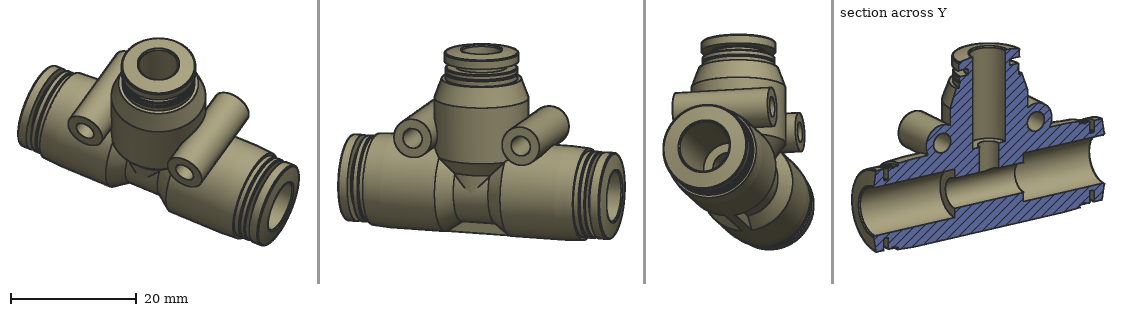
import cadquery as cq

run_half_length = 22.2
branch_length = 22.38

body_radius = 7.5
waist_radius = 5.73
run_waist_end = 2.9
branch_waist_end = 3.1
shoulder_end = 5.45

cap_face_depth = 0.4
cap_edge_depth = 0.58
collar_groove_start = 3.65
collar_groove_end = 3.9
body_start = 4.7
tube_socket_depth = 15.55

cap_edge_chamfer = 0.18
neck_chamfer = 0.18
collar_chamfer = 0.18
collar_groove_depth = 0.18
mouth_flare = 0.2

run_socket_radius = 8.1 / 2
run_passage_diameter = 5.0
branch_socket_radius = 6.2 / 2
branch_passage_diameter = 3.6

web_thickness = 1.6

lug_offset = 9.0
lug_height = 8.95
lug_diameter = 6.2
lug_hole_diameter = 3.2
lug_length = 15.6


def arm(length, socket_radius, cap_radius, cap_end, neck_radius, collar_start,
        collar_radius, body_end_radius, taper_end, waist_end):
    """Return a solid arm of revolution rising along +Z from the origin to its open end."""
    groove_radius = collar_radius - collar_groove_depth
    sleeve = [
        (0, 0),
        (socket_radius + mouth_flare, 0),
        (cap_radius - cap_edge_chamfer, cap_face_depth),
        (cap_radius, cap_edge_depth),
        (cap_radius, cap_end),
        (neck_radius + neck_chamfer, cap_end),
        (neck_radius, cap_end + neck_chamfer),
    ]
    collar = [
        (neck_radius, collar_start),
        (collar_radius - collar_chamfer, collar_start),
        (collar_radius, collar_start + collar_chamfer),
        (collar_radius, collar_groove_start),
        (groove_radius, collar_groove_start),
        (groove_radius, collar_groove_end),
        (collar_radius, collar_groove_end),
        (collar_radius, body_start),
    ]
    body = [
        (body_end_radius, body_start),
        (body_radius, taper_end),
        (body_radius, length - shoulder_end),
        (waist_radius, length - waist_end),
        (waist_radius, length),
        (0, length),
    ]
    outline = [(radius, length - depth) for radius, depth in sleeve + collar + body]
    return cq.Workplane("XZ").polyline(outline).close().revolve(360, (0, 0, 0), (0, 1, 0))


def tube_socket(length, socket_radius):
    """Return the cutter for a blind tube socket with a flared mouth, along +Z."""
    socket_floor = length - tube_socket_depth
    outline = [
        (0, length),
        (socket_radius + mouth_flare, length),
        (socket_radius, length - mouth_flare),
        (socket_radius, socket_floor),
        (0, socket_floor),
    ]
    return cq.Workplane("XZ").polyline(outline).close().revolve(360, (0, 0, 0), (0, 1, 0))


def along_x(shape, side):
    """Turn a shape from +Z to +X (side = 1) or -X (side = -1)."""
    return shape.rotate((0, 0, 0), (0, 1, 0), 90 * side)


def lug_cylinders(diameter):
    """Return a pair of cylinders along Y at the two lug positions."""
    return (
        cq.Workplane("XZ", origin=(0, lug_length / 2, 0))
        .pushPoints([(-lug_offset, lug_height), (lug_offset, lug_height)])
        .circle(diameter / 2)
        .extrude(lug_length)
    )


run_arm = arm(
    run_half_length,
    run_socket_radius,
    cap_radius=13.8 / 2,
    cap_end=2.0,
    neck_radius=9.8 / 2,
    collar_start=2.75,
    collar_radius=13.8 / 2,
    body_end_radius=7.33,
    taper_end=7.7,
    waist_end=run_waist_end,
)
branch_arm = arm(
    branch_length,
    branch_socket_radius,
    cap_radius=11.8 / 2,
    cap_end=1.85,
    neck_radius=8.1 / 2,
    collar_start=2.85,
    collar_radius=11.5 / 2,
    body_end_radius=6.35,
    taper_end=7.8,
    waist_end=branch_waist_end,
)

web_block = cq.Workplane("XY", origin=(0, 0, -body_radius)).box(
    2 * shoulder_end, web_thickness, body_radius, centered=(True, True, False)
)
body_envelope = cq.Workplane("YZ").circle(body_radius).extrude(shoulder_end, both=True)
web = web_block.intersect(body_envelope)
tee = branch_arm.union(along_x(run_arm, 1)).union(along_x(run_arm, -1))
tee = tee.union(web).union(lug_cylinders(lug_diameter))

run_socket = tube_socket(run_half_length, run_socket_radius)
run_passage = (
    cq.Workplane("YZ", origin=(-run_half_length, 0, 0))
    .circle(run_passage_diameter / 2)
    .extrude(2 * run_half_length)
)
branch_passage = cq.Workplane("XY").circle(branch_passage_diameter / 2).extrude(branch_length)

tee = tee.cut(along_x(run_socket, 1)).cut(along_x(run_socket, -1)).cut(run_passage)
tee = tee.cut(tube_socket(branch_length, branch_socket_radius)).cut(branch_passage)
result = tee.cut(lug_cylinders(lug_hole_diameter))